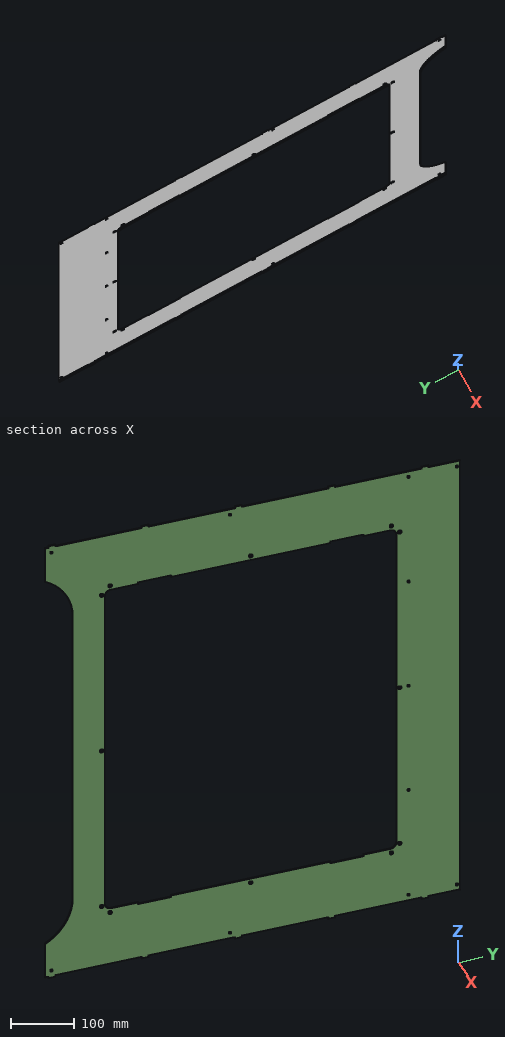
import cadquery as cq
import math

thickness = 3.0
width = 698.0
height = 830.0

tab_height = 3.0
tab_width = 12.0
tab_pitch = 157.0
tab_count = 5
first_tab_inset = 59.0

scoop_depth = 46.5
scoop_radius = 86.0
horn_length = 65.0

window_width = 490.0
window_height = 611.0
window_inset = 107.0
window_corner_radius = 10.0
relief_width = 56.0
relief_depth = 3.0
relief_spacing = 324.0

small_hole_diameter = 3.5
large_hole_diameter = 5.5
edge_hole_pitch_y = 300.5
column_hole_pitch_z = 200.0
end_hole_inset = 11.0
edge_hole_inset_z = 11.0
corner_hole_inset = 5.0
window_hole_spread_y = 236.5
window_hole_offset_y = 251.0
window_hole_row_z = 314.0
window_hole_column_z = 299.0

back_y = width / 2
front_y = -width / 2
edge_z = height / 2 - tab_height
window_y = back_y - window_inset - window_width / 2
edge_hole_ys = [front_y + end_hole_inset + i * edge_hole_pitch_y for i in range(3)]
edge_hole_z = edge_z - edge_hole_inset_z


def slab(y, z, size_y, size_z):
    """Rectangular block of plate thickness centred at (y, z)."""
    return cq.Workplane("YZ").center(y, z).rect(size_y, size_z).extrude(thickness / 2, both=True)


def plate_blank():
    """Outline without tabs: straight on +Y, scooped between two horns on -Y."""
    waist_y = front_y + scoop_depth
    horn_z = edge_z - horn_length
    sweep = math.acos(1 - scoop_depth / scoop_radius)
    tangent_z = horn_z - scoop_radius * math.sin(sweep)
    middle_y = waist_y - scoop_radius * (1 - math.cos(sweep / 2))
    middle_z = tangent_z + scoop_radius * math.sin(sweep / 2)
    return (
        cq.Workplane("YZ")
        .moveTo(back_y, -edge_z)
        .lineTo(back_y, edge_z)
        .lineTo(front_y, edge_z)
        .lineTo(front_y, horn_z)
        .threePointArc((middle_y, middle_z), (waist_y, tangent_z))
        .lineTo(waist_y, -tangent_z)
        .threePointArc((middle_y, -middle_z), (front_y, -horn_z))
        .lineTo(front_y, -edge_z)
        .close()
        .extrude(thickness / 2, both=True)
    )


def add_tabs(body):
    """Evenly spaced tabs on both long edges, rooted inside the plate."""
    for i in range(tab_count):
        y = back_y - first_tab_inset - i * tab_pitch
        for side in (1, -1):
            body = body.union(slab(y, side * edge_z, tab_width, 2 * tab_height))
    return body


def cut_window(body):
    """Rounded window with two shallow reliefs in its upper and lower edges."""
    window = slab(window_y, 0, window_width, window_height).edges("|X").fillet(window_corner_radius)
    for side in (1, -1):
        y = window_y + side * relief_spacing / 2
        window = window.union(slab(y, 0, relief_width, window_height + 2 * relief_depth))
    return body.cut(window)


def drill(body, places, diameter):
    """Through holes at the given (y, z) places."""
    pins = cq.Workplane("YZ").pushPoints(places).circle(diameter / 2).extrude(thickness, both=True)
    return body.cut(pins)


small_places = [(edge_hole_ys[-1], i * column_hole_pitch_z) for i in (-1, 0, 1)]
for side in (1, -1):
    small_places += [(y, side * edge_hole_z) for y in edge_hole_ys]
    small_places.append((back_y - corner_hole_inset, side * edge_hole_z))

large_places = []
for side in (1, -1):
    for i in (-1, 0, 1):
        large_places.append((window_y + i * window_hole_spread_y, side * window_hole_row_z))
        large_places.append((window_y + side * window_hole_offset_y, i * window_hole_column_z))

result = cut_window(add_tabs(plate_blank()))
result = drill(result, small_places, small_hole_diameter)
result = drill(result, large_places, large_hole_diameter)